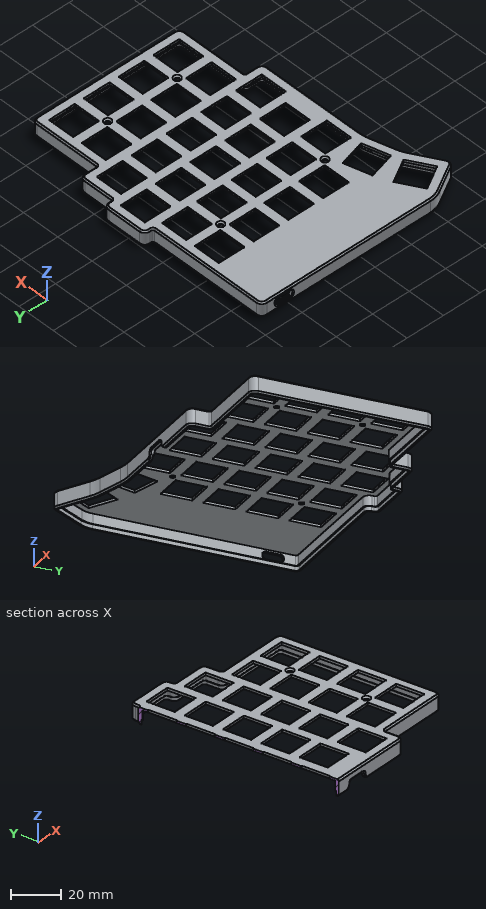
import math

import cadquery as cq

WIDTH = 144.25
HEIGHT = 7.8

PITCH = 19.05
KEY_OPENING = 14.0
WALL = 2.0
MARGIN = 11.9
STEP = PITCH / 4

BUMP_STEPS = 0
MAIN_STEPS = 1
WING_STEPS = 3
BUMP_COLUMN = 2
SHOULDER_COLUMN = 3
WING_COLUMN = 4
COLUMNS = [
    (MAIN_STEPS, 4),
    (MAIN_STEPS, 5),
    (BUMP_STEPS, 5),
    (MAIN_STEPS, 5),
    (WING_STEPS, 4),
    (WING_STEPS, 4),
]
MAIN_LAST_ROW = 4
WING_LAST_ROW = 3
FIRST_COLUMN_X = WIDTH - MARGIN - (len(COLUMNS) - 1) * PITCH

INNER_THUMB = (35.2, -95.55, 15.0)
OUTER_THUMB = (15.45, -103.58, 30.0)
OUTER_THUMB_MARGIN = 12.05

CORNER_R = 2.9
NOOK_R = 0.8
THUMB_BEND_R = 20.0
SIDE_BEND_R = 13.6

EDGE_CHAMFER = 0.75
PLATE = 1.3
LEDGE_HEIGHT = 2.0
LEDGE_WALL = 1.5

SCREW_D = 2.2
SCREW_HEAD_D = 3.8
COUNTERSINK_ANGLE = 90.0
UPPER_SCREW_ROW = 0.5
MAIN_LOWER_SCREW_ROW = 3.5
WING_LOWER_SCREW_ROW = 2.5

PORT_CHAMFER = 0.5
PORT_TAPER = 45.0
PORT_DEPTH = 2 * WALL
SLOT_LENGTH = 9.7
SLOT_HEIGHT = 3.4
SLOT_Y = -17.35
NOTCH_WIDTH = 10.0
NOTCH_TOP = 4.0
NOTCH_CORNER_R = 1.4
NOTCH_FLARE_R = 2.5


def column_x(index):
    return FIRST_COLUMN_X + index * PITCH


def row_y(steps, row):
    return -MARGIN - steps * STEP - row * PITCH


FRONT_Y = row_y(MAIN_STEPS, MAIN_LAST_ROW) - MARGIN


def turned(center, dx, dy):
    """Point at (dx, dy) in the frame of a turned thumb key."""
    x, y, angle = center
    c = math.cos(math.radians(angle))
    s = math.sin(math.radians(angle))
    return (x + dx * c - dy * s, y + dx * s + dy * c)


def crossing(point_a, angle_a, point_b, angle_b):
    """Point where two lines cross, each given by a point and a direction in degrees."""
    ax, ay = math.cos(math.radians(angle_a)), math.sin(math.radians(angle_a))
    bx, by = math.cos(math.radians(angle_b)), math.sin(math.radians(angle_b))
    gap_x, gap_y = point_b[0] - point_a[0], point_b[1] - point_a[1]
    along = (gap_x * by - gap_y * bx) / (ax * by - ay * bx)
    return (point_a[0] + along * ax, point_a[1] + along * ay)


def rounded_outline(corners):
    """Closed wire through (point, radius) corners, each rounded with a tangent arc."""
    arcs = []
    for i, (corner, radius) in enumerate(corners):
        corner = cq.Vector(*corner)
        back = (cq.Vector(*corners[i - 1][0]) - corner).normalized()
        ahead = (cq.Vector(*corners[(i + 1) % len(corners)][0]) - corner).normalized()
        half = back.getAngle(ahead) / 2
        reach = radius / math.tan(half)
        depth = radius / math.sin(half) - radius
        middle = corner + (back + ahead).normalized() * depth
        arcs.append((corner + back * reach, middle, corner + ahead * reach))
    path = cq.Workplane("XY").moveTo(*arcs[0][0].toTuple()[:2])
    for i, (start, middle, end) in enumerate(arcs):
        if i:
            path = path.lineTo(start.x, start.y)
        path = path.threePointArc((middle.x, middle.y), (end.x, end.y))
    return path.close()


def case_outline():
    rear = -MAIN_STEPS * STEP
    bump_left = column_x(BUMP_COLUMN) - MARGIN
    bump_right = column_x(BUMP_COLUMN) + MARGIN
    shoulder = column_x(SHOULDER_COLUMN) + MARGIN
    wing_rear = -WING_STEPS * STEP
    wing_front = row_y(WING_STEPS, WING_LAST_ROW) - MARGIN

    inner_edge = turned(INNER_THUMB, 0, -MARGIN)
    outer_edge = turned(OUTER_THUMB, 0, -OUTER_THUMB_MARGIN)
    tip = turned(OUTER_THUMB, -OUTER_THUMB_MARGIN, -OUTER_THUMB_MARGIN)
    front_bend = crossing(inner_edge, INNER_THUMB[2], (0, FRONT_Y), 0)
    thumb_bend = crossing(inner_edge, INNER_THUMB[2], outer_edge, OUTER_THUMB[2])
    side_bend = crossing(tip, OUTER_THUMB[2] + 90, (0, 0), 90)
    return rounded_outline([
        ((0, rear), CORNER_R),
        ((bump_left, rear), NOOK_R),
        ((bump_left, 0), CORNER_R),
        ((bump_right, 0), CORNER_R),
        ((bump_right, rear), NOOK_R),
        ((shoulder, rear), CORNER_R),
        ((shoulder, wing_rear), NOOK_R),
        ((WIDTH, wing_rear), CORNER_R),
        ((WIDTH, wing_front), CORNER_R),
        ((shoulder, wing_front), NOOK_R),
        ((shoulder, FRONT_Y), CORNER_R),
        (front_bend, THUMB_BEND_R),
        (thumb_bend, THUMB_BEND_R),
        (tip, CORNER_R),
        (side_bend, SIDE_BEND_R),
    ])


def shell():
    body = case_outline().extrude(HEIGHT).faces("<Z or >Z").chamfer(EDGE_CHAMFER)
    cavity = case_outline().offset2D(-WALL).extrude(HEIGHT - PLATE)
    ledge = case_outline().offset2D(-LEDGE_WALL).extrude(LEDGE_HEIGHT)
    return body.cut(cavity).cut(ledge)


def key_openings():
    places = [
        (column_x(index), row_y(steps, row), 0.0)
        for index, (steps, count) in enumerate(COLUMNS)
        for row in range(count)
    ]
    openings = cq.Workplane("XY")
    for x, y, angle in places + [INNER_THUMB, OUTER_THUMB]:
        key = cq.Workplane("XY").rect(KEY_OPENING, KEY_OPENING).extrude(HEIGHT)
        key = key.rotate((0, 0, 0), (0, 0, 1), angle).translate((x, y, 0))
        openings = openings.add(key)
    return openings.combine()


def drill_screw_holes(body):
    left_x = column_x(0) + PITCH / 2
    right_x = column_x(WING_COLUMN) + PITCH / 2
    places = [
        (left_x, row_y(MAIN_STEPS, UPPER_SCREW_ROW)),
        (left_x, row_y(MAIN_STEPS, MAIN_LOWER_SCREW_ROW)),
        (right_x, row_y(WING_STEPS, UPPER_SCREW_ROW)),
        (right_x, row_y(WING_STEPS, WING_LOWER_SCREW_ROW)),
    ]
    top = cq.Workplane("XY").workplane(offset=HEIGHT).pushPoints(places)
    holes = top.circle(SCREW_D / 2).extrude(-HEIGHT)
    sink_depth = (SCREW_HEAD_D - SCREW_D) / 2 / math.tan(math.radians(COUNTERSINK_ANGLE / 2))
    sinks = top.circle(SCREW_HEAD_D / 2).extrude(-sink_depth, taper=COUNTERSINK_ANGLE / 2)
    return body.cut(holes).cut(sinks)


def slot_profile(grow):
    plane = cq.Plane(origin=(0, SLOT_Y, HEIGHT / 2), xDir=(0, 1, 0), normal=(1, 0, 0))
    return cq.Workplane(plane).slot2D(SLOT_LENGTH + 2 * grow, SLOT_HEIGHT + 2 * grow)


def side_slot():
    bore = slot_profile(0).extrude(PORT_DEPTH)
    mouth = slot_profile(PORT_CHAMFER).extrude(PORT_CHAMFER, taper=PORT_TAPER)
    return bore.union(mouth)


def notch_profile(grow):
    """Arch open at the underside, its feet flaring out to the underside."""
    half = NOTCH_WIDTH / 2 + grow
    top = NOTCH_TOP + grow
    corner = NOTCH_CORNER_R + grow
    flare = NOTCH_FLARE_R - grow
    spring = NOTCH_FLARE_R
    foot = spring - flare
    sag = 1 - math.sqrt(0.5)
    plane = cq.Plane(origin=(column_x(BUMP_COLUMN), FRONT_Y, 0), xDir=(-1, 0, 0), normal=(0, 1, 0))
    return (
        cq.Workplane(plane)
        .moveTo(-half - flare, -HEIGHT)
        .lineTo(-half - flare, foot)
        .threePointArc((-half - flare * sag, foot + flare * sag), (-half, spring))
        .lineTo(-half, top - corner)
        .threePointArc((-half + corner * sag, top - corner * sag), (-half + corner, top))
        .lineTo(half - corner, top)
        .threePointArc((half - corner * sag, top - corner * sag), (half, top - corner))
        .lineTo(half, spring)
        .threePointArc((half + flare * sag, foot + flare * sag), (half + flare, foot))
        .lineTo(half + flare, -HEIGHT)
        .close()
    )


def front_notch():
    bore = notch_profile(0).extrude(PORT_DEPTH)
    mouth = notch_profile(PORT_CHAMFER).extrude(PORT_CHAMFER, taper=PORT_TAPER)
    return bore.union(mouth)


result = shell().cut(key_openings())
result = drill_screw_holes(result)
result = result.cut(side_slot()).cut(front_notch())